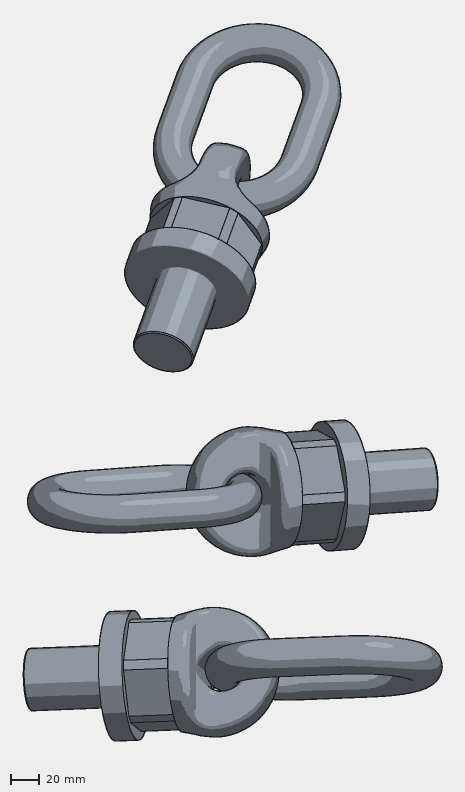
import cadquery as cq
import math


stud_diameter = 44.5
stud_length = 60.0
flange_diameter = 92.0
flange_thickness = 17.3
hexagon_flats = 74.5
hexagon_corner_diameter = 82.2
hexagon_height = 32.2
base_edge_radius = 1.0

eye_start = flange_thickness + hexagon_height
ball_radius = flange_diameter / 2
ball_centre = eye_start + 24.5
cone_angle = 13.0
collar_height = 15.8
shoulder = eye_start + collar_height
lug_thickness = 27.7
lug_root_radius = 13.7
eye_hole_diameter = 31.0
eye_hole_centre = eye_start + 32.5
eye_edge_radius = 6.0

link_width = 119.0
link_bar_diameter = 27.0
link_straight_length = 50.5
overall_length = 298.0
link_bend_radius = (link_width - link_bar_diameter) / 2
link_top = overall_length - stud_length
link_upper_bend = link_top - link_width / 2
link_lower_bend = link_upper_bend - link_straight_length


def cylinder_along_y(diameter, start, length):
    """Round bar on the swivel axis, from Y = start towards +Y."""
    plane = cq.Plane(origin=(0, start, 0), xDir=(1, 0, 0), normal=(0, 1, 0))
    return cq.Workplane(plane).circle(diameter / 2).extrude(length)


def make_base():
    """Flange, rounded-corner hexagon and stud in one piece."""
    flange = cylinder_along_y(flange_diameter, 0, flange_thickness)
    stud = cylinder_along_y(stud_diameter, -stud_length, stud_length)
    seat_plane = cq.Plane(origin=(0, flange_thickness, 0), xDir=(0, 0, 1), normal=(0, 1, 0))
    hexagon = (
        cq.Workplane(seat_plane)
        .polygon(6, hexagon_flats, circumscribed=True)
        .extrude(hexagon_height)
        .intersect(cylinder_along_y(hexagon_corner_diameter, flange_thickness, hexagon_height))
    )
    seat_edges = cq.selectors.BoxSelector(
        (-flange_diameter, -base_edge_radius, -flange_diameter),
        (flange_diameter, base_edge_radius, flange_diameter),
    )
    base = flange.union(stud)
    base = base.edges(seat_edges).edges("%CIRCLE").fillet(base_edge_radius)
    base = base.faces("<Y").edges().chamfer(base_edge_radius)
    return base.union(hexagon)


def make_eye_blank():
    """Ball and tangent cone, turned about the swivel axis."""
    angle = math.radians(cone_angle)
    tangent_radius = ball_radius * math.cos(angle)
    tangent_y = ball_centre - ball_radius * math.sin(angle)
    foot_radius = tangent_radius - (tangent_y - eye_start) * math.tan(angle)
    slant = ball_radius * math.cos(math.pi / 4)
    return (
        cq.Workplane("YZ")
        .moveTo(eye_start, 0)
        .lineTo(eye_start, foot_radius)
        .lineTo(tangent_y, tangent_radius)
        .threePointArc((ball_centre + slant, slant), (ball_centre + ball_radius, 0))
        .close()
        .revolve(360, (0, 0, 0), (1, 0, 0))
    )


def make_lug_side_cutter():
    """Waste on the +X side of the lug, with a round root where the lug meets the collar."""
    side = lug_thickness / 2
    outside = 2 * ball_radius
    above = ball_centre + 2 * ball_radius
    return (
        cq.Workplane("XY")
        .moveTo(side, above)
        .lineTo(side, shoulder + lug_root_radius)
        .radiusArc((side + lug_root_radius, shoulder), -lug_root_radius)
        .lineTo(outside, shoulder)
        .lineTo(outside, above)
        .close()
        .extrude(2 * ball_radius, both=True)
    )


def make_eye():
    """Lug on a collar, with a cross hole for the link and rounded edges."""
    side_cutter = make_lug_side_cutter()
    eye = make_eye_blank().cut(side_cutter).cut(side_cutter.mirror("YZ"))
    hole = (
        cq.Workplane("YZ")
        .center(eye_hole_centre, 0)
        .circle(eye_hole_diameter / 2)
        .extrude(ball_radius, both=True)
    )
    eye = eye.cut(hole)
    for side in (-1, 1):
        side_edges = cq.selectors.BoxSelector(
            (side * lug_thickness / 4, eye_start, -ball_radius),
            (side * ball_radius, ball_centre + ball_radius, ball_radius),
        )
        eye = eye.edges(side_edges).edges("%CIRCLE or %BSPLINE").fillet(eye_edge_radius)
    return eye


def make_link():
    """Round bar bent into an oblong ring in the XY plane."""
    path = (
        cq.Workplane("XY")
        .moveTo(link_bend_radius, link_lower_bend)
        .lineTo(link_bend_radius, link_upper_bend)
        .threePointArc((0, link_upper_bend + link_bend_radius), (-link_bend_radius, link_upper_bend))
        .lineTo(-link_bend_radius, link_lower_bend)
        .threePointArc((0, link_lower_bend - link_bend_radius), (link_bend_radius, link_lower_bend))
        .close()
    )
    start = cq.Plane(origin=(link_bend_radius, link_lower_bend, 0), xDir=(1, 0, 0), normal=(0, 1, 0))
    return cq.Workplane(start).circle(link_bar_diameter / 2).sweep(path)


base = make_base()
eye = make_eye()
link = make_link()
result = cq.Compound.makeCompound([base.solids().val(), eye.solids().val(), link.val()])